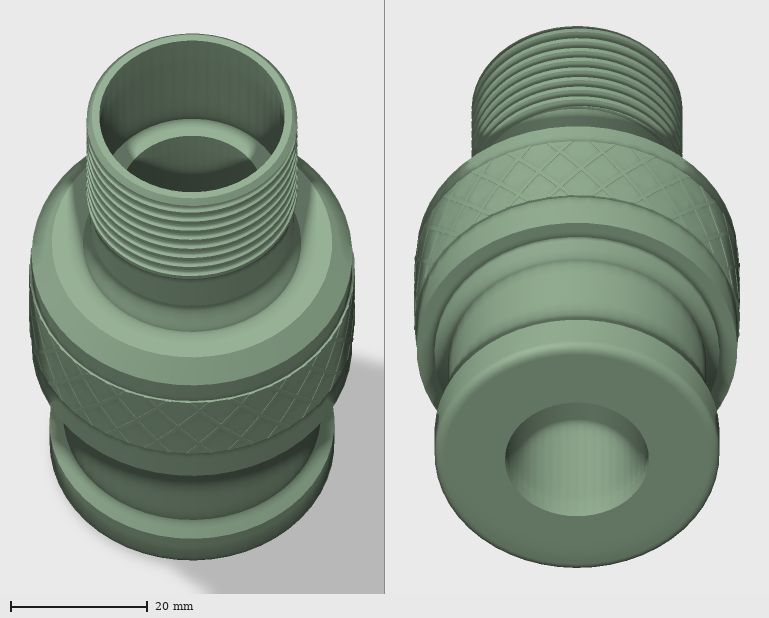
import cadquery as cq
import math

total_height = 84.3
bore_diameter = 21.1

body_diameter = 41.7
body_waist_diameter = 37.8
body_foot_height = 6.5
body_foot_fillet = 1.4
body_shoulder_z = 25.2

sleeve_bottom = 26.2
sleeve_top = 52.2
sleeve_diameter = 47.0
sleeve_chamfer = 2.95
sleeve_top_hole_diameter = 31.95

knurl_bottom = 32.4
knurl_top = 45.3
knurl_diameter = 47.7
knurl_pocket_diameter = 47.55
knurl_count = 24
knurl_row_height = 4.2
knurl_ridge_width = 0.8
knurl_start_angle = 11.7
pocket_tool_reach = 0.85

neck_diameter = 27.15
neck_bottom = 55.4
shank_diameter = 29.85
shank_bottom = 56.5
shank_chamfer = 0.85
tail_recess_diameter = 27.15

thread_bottom = 64.4
rim_height = 0.85
rim_taper = 0.8
thread_diameter = 30.9
thread_root_diameter = 27.9
thread_pitch = 25.4 / 11
thread_crest_width = 0.8
thread_root_width = 0.4
thread_start_z = 62.1
thread_turns = 10
groove_overshoot = 0.2

thread_top = total_height - rim_height

joint_z = knurl_top


def revolve_profile(points):
    """Solid of revolution about Z from (radius, z) points."""
    return cq.Workplane("XZ").polyline(points).close().revolve(360, (0, 0, 0), (0, 1, 0))


def cylinder(diameter, bottom, top):
    """Cylinder on the Z axis between two heights."""
    return cq.Workplane("XY").workplane(offset=bottom).circle(diameter / 2).extrude(top - bottom)


def make_body():
    """Lower body: a waisted tube with a rounded foot, its plain top going up into the sleeve."""
    outer = body_diameter / 2
    waist = body_waist_diameter / 2
    bore = bore_diameter / 2
    slope = outer - waist
    body = revolve_profile([
        (bore, 0),
        (outer, 0),
        (outer, body_foot_height),
        (waist, body_foot_height + slope),
        (waist, body_shoulder_z - slope),
        (outer, body_shoulder_z),
        (outer, joint_z),
        (bore, joint_z),
    ])
    foot_rim = cq.selectors.RadiusNthSelector(-1)
    return body.faces("<Z").edges(foot_rim).fillet(body_foot_fillet)


def make_knurl_pockets():
    """Diamond pockets in five staggered rows, trimmed to the height and depth of the band."""
    radius = knurl_diameter / 2
    step_angle = 360 / knurl_count
    half_spacing = math.pi * radius / knurl_count
    half_width = half_spacing - knurl_ridge_width / 2
    half_height = knurl_row_height * half_width / half_spacing
    middle_z = (knurl_bottom + knurl_top) / 2

    diamonds = []
    for row in (-2, -1, 0, 1, 2):
        row_angle = knurl_start_angle + (step_angle / 2 if row % 2 == 0 else 0)
        diamond = (
            cq.Workplane("YZ", origin=(radius - pocket_tool_reach, 0, middle_z + row * knurl_row_height))
            .polyline([(half_width, 0), (0, half_height), (-half_width, 0), (0, -half_height)])
            .close()
            .extrude(2 * pocket_tool_reach)
        )
        for i in range(knurl_count):
            diamonds.append(diamond.rotate((0, 0, 0), (0, 0, 1), row_angle + i * step_angle).val())
    shell = cylinder(knurl_diameter + 2 * pocket_tool_reach, knurl_bottom, knurl_top)
    shell = shell.cut(cylinder(knurl_pocket_diameter, knurl_bottom, knurl_top))
    return shell.intersect(cq.Workplane(cq.Compound.makeCompound(diamonds)))


def make_sleeve():
    """Knurled sleeve, bored from below for the body and from above for the tail."""
    sleeve = cylinder(sleeve_diameter, sleeve_bottom, sleeve_top).faces(">Z").chamfer(sleeve_chamfer)
    band = cylinder(knurl_diameter, knurl_bottom, knurl_top).cut(make_knurl_pockets())
    sleeve = sleeve.union(band)
    sleeve = sleeve.cut(cylinder(body_diameter, sleeve_bottom, joint_z))
    return sleeve.cut(cylinder(sleeve_top_hole_diameter, joint_z, sleeve_top))


def make_thread_groove():
    """Right-handed helical groove, trimmed to the threaded length."""
    crest = thread_diameter / 2
    root = thread_root_diameter / 2
    flank_slope = (thread_pitch - thread_crest_width - thread_root_width) / 2 / (crest - root)
    outer = crest + groove_overshoot
    root_half = thread_root_width / 2
    outer_half = root_half + (outer - root) * flank_slope
    path = cq.Wire.makeHelix(thread_pitch, thread_turns * thread_pitch, root)
    groove = (
        cq.Workplane("XZ")
        .polyline([(root, -root_half), (outer, -outer_half), (outer, outer_half), (root, root_half)])
        .close()
        .sweep(cq.Workplane(path), isFrenet=True)
        .translate((0, 0, thread_start_z))
    )
    return groove.intersect(cylinder(2 * thread_diameter, thread_bottom, thread_top))


def make_tail():
    """Threaded tail: a base in the sleeve, a cone, a neck, a shank and the thread."""
    bore = bore_diameter / 2
    recess = tail_recess_diameter / 2
    base = sleeve_top_hole_diameter / 2
    neck = neck_diameter / 2
    shank = shank_diameter / 2
    crest = thread_diameter / 2
    tail = revolve_profile([
        (bore, joint_z),
        (base, joint_z),
        (base, sleeve_top),
        (neck, neck_bottom),
        (neck, shank_bottom),
        (shank - shank_chamfer, shank_bottom),
        (shank, shank_bottom + shank_chamfer),
        (shank, thread_bottom),
        (crest, thread_bottom),
        (crest, thread_top),
        (crest - rim_taper, total_height),
        (recess, total_height),
        (recess, thread_bottom),
        (bore, thread_bottom),
    ])
    return tail.cut(make_thread_groove())


body = make_body()
sleeve = make_sleeve()
tail = make_tail()

result = cq.Compound.makeCompound([body.val(), sleeve.val(), tail.val()])